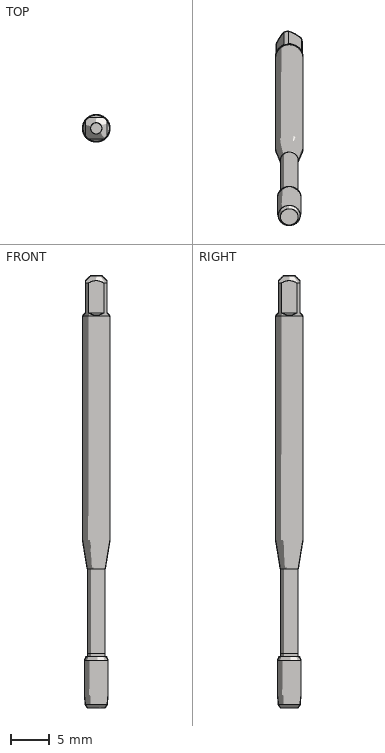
import cadquery as cq

length = 56.1

shank_diameter = 3.6
neck_diameter = 2.3
taper_bottom = 18.2
neck_top = 18.0
taper_end_diameter = 2.4
taper_top = 21.75
shank_top = 50.8

drive_diameter = 3.4
drive_across_flats = 2.8
flat_bottom = 51.3
drive_cone_height = 0.95
drive_tip_diameter = 1.45

head_top = 7.05
head_diameter = 3.1
collar_diameter = 2.7
collar_top = 6.7
head_shoulder = 6.15
lead_top = 1.6
lead_diameter = 2.85
nose_height = 0.45
nose_diameter = 2.3


def turned(stations):
    """Revolve (diameter, height) stations about the Z axis."""
    profile = [(diameter / 2, height) for diameter, height in stations]
    axis_ends = [(0, stations[-1][1]), (0, stations[0][1])]
    return cq.Workplane("XZ").polyline(profile + axis_ends).close().revolve(360, (0, 0), (0, 1))


def flat_cutter():
    """Cutter for one drive flat on +X, ending in a 45 degree run-out."""
    flat = drive_across_flats / 2
    outside = shank_diameter
    run_out = outside - flat
    return (
        cq.Workplane("XZ")
        .polyline([
            (flat, length),
            (flat, flat_bottom),
            (outside, flat_bottom - run_out),
            (outside, length),
        ])
        .close()
        .extrude(shank_diameter, both=True)
    )


def make_shank():
    """Neck, taper, grip and square drive as one body."""
    shank = turned([
        (neck_diameter, head_top),
        (neck_diameter, neck_top),
        (taper_end_diameter, taper_bottom),
        (shank_diameter, taper_top),
        (shank_diameter, shank_top),
        (drive_diameter, shank_top),
        (drive_diameter, length - drive_cone_height),
        (drive_tip_diameter, length),
    ])
    for side in range(4):
        shank = shank.cut(flat_cutter().rotate((0, 0, 0), (0, 0, 1), 90 * side))
    return shank


def make_head():
    """Threading head with a tapered lead and a chamfered nose."""
    return turned([
        (nose_diameter, 0),
        (lead_diameter, nose_height),
        (head_diameter, lead_top),
        (head_diameter, head_shoulder),
        (collar_diameter, collar_top),
        (neck_diameter, collar_top),
        (neck_diameter, head_top),
    ])


shank = make_shank()
head = make_head()

result = cq.Compound.makeCompound([shank.val(), head.val()])